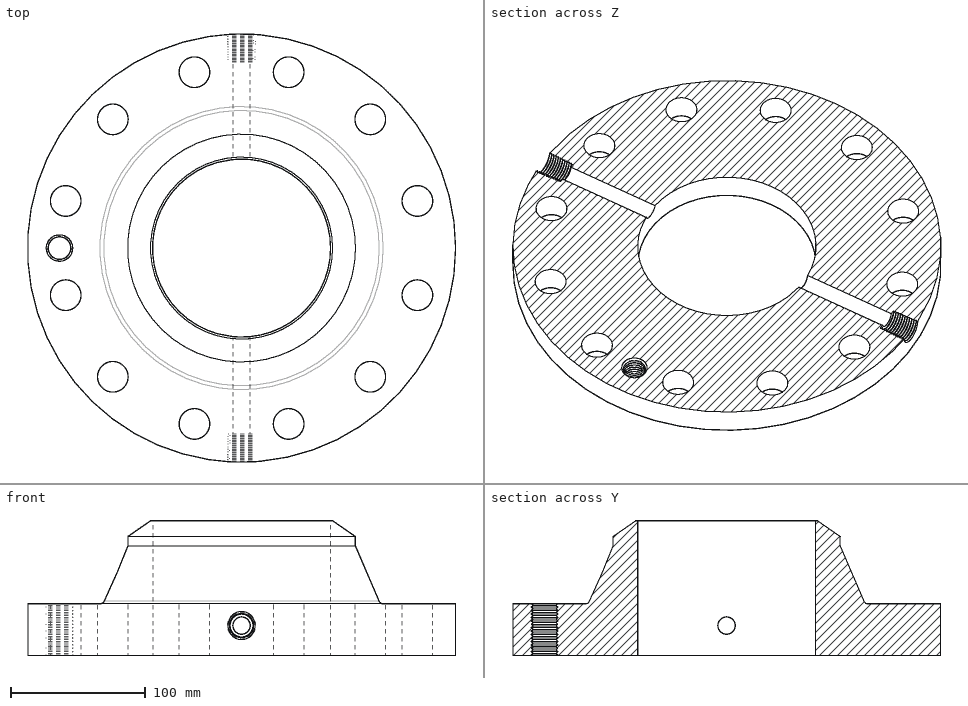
import cadquery as cq
import math

flange_diameter = 317.5
flange_radius = flange_diameter / 2
flange_thickness = 38.5

total_height = 100.0
bore_diameter = 131.8
weld_land_diameter = 135.0
neck_diameter = 169.0
bevel_base_height = 88.3
cone_top_height = 81.3
cone_base_diameter = 205.7
root_fillet_radius = 3.2

bolt_count = 12
bolt_circle_radius = 135.0
bolt_hole_diameter = 22.5
bolt_spacing = 360 / bolt_count

jack_major_diameter = 19.7
jack_minor_diameter = 16.5
jack_pitch = 2.5

tap_height = 22.2
tap_bore_diameter = 12.7
tap_major_diameter = 21.0
tap_minor_diameter = 18.0
tap_pitch = 2.0
tap_turns = 11
pipe_taper = 1 / 16


def make_body():
    """Flange, conical hub and bevelled weld end, revolved around the bore axis."""
    bore_radius = bore_diameter / 2
    neck_radius = neck_diameter / 2
    body = (
        cq.Workplane("XZ")
        .moveTo(bore_radius, 0)
        .lineTo(flange_radius, 0)
        .lineTo(flange_radius, flange_thickness)
        .lineTo(cone_base_diameter / 2, flange_thickness)
        .lineTo(neck_radius, cone_top_height)
        .lineTo(neck_radius, bevel_base_height)
        .lineTo(weld_land_diameter / 2, total_height)
        .lineTo(bore_radius, total_height)
        .close()
        .revolve(360, (0, 0, 0), (0, 1, 0))
    )
    hub_root = cq.selectors.RadiusNthSelector(-2)
    return body.edges("%CIRCLE").edges(hub_root).fillet(root_fillet_radius)


def thread_cutter(major_diameter, minor_diameter, pitch, turns, taper=0.0):
    """Solid with V-shaped thread rings, running down -Z from its entry at the origin."""
    depth = turns * pitch
    profile = [(0, 0)]
    for half_turn in range(2 * turns + 1):
        distance = half_turn * pitch / 2
        diameter = major_diameter if half_turn % 2 == 0 else minor_diameter
        profile.append(((diameter - taper * distance) / 2, -distance))
    profile.append((0, -depth))
    return cq.Workplane("XZ").polyline(profile).close().revolve(360, (0, 0, 0), (0, 1, 0))


def bolt_hole_cutter():
    return (
        cq.Workplane("XY")
        .polarArray(bolt_circle_radius, bolt_spacing / 2, 360, bolt_count)
        .circle(bolt_hole_diameter / 2)
        .extrude(flange_thickness)
    )


def jack_hole_cutter():
    """Threaded hole through the flange on the -X side."""
    turns = math.ceil(flange_thickness / jack_pitch)
    thread = thread_cutter(jack_major_diameter, jack_minor_diameter, jack_pitch, turns)
    return thread.translate((-bolt_circle_radius, 0, flange_thickness))


def pressure_tap_cutter():
    """Tap on the -Y side: a threaded mouth and a smaller hole into the bore."""
    thread = thread_cutter(tap_major_diameter, tap_minor_diameter, tap_pitch, tap_turns, pipe_taper)
    passage = cq.Workplane("XY").circle(tap_bore_diameter / 2).extrude(-flange_radius)
    tap = thread.union(passage)
    return tap.rotate((0, 0, 0), (1, 0, 0), 90).translate((0, -flange_radius, tap_height))


pressure_tap = pressure_tap_cutter()
opposite_pressure_tap = pressure_tap.rotate((0, 0, 0), (0, 0, 1), 180)

result = (
    make_body()
    .cut(bolt_hole_cutter())
    .cut(jack_hole_cutter())
    .cut(pressure_tap)
    .cut(opposite_pressure_tap)
)